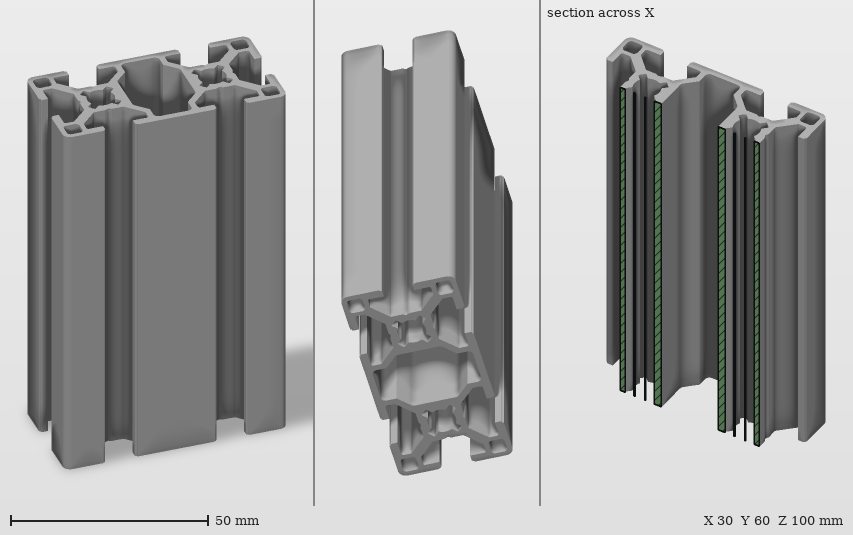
import cadquery as cq

cell = 30.0
length = 100.0
corner_radius = 2.0
half_cell = cell / 2
cell_centres = [(0, -half_cell), (0, half_cell)]

slot_opening = 8.0
slot_inner_width = 16.6
lip_thickness = 2.2
slot_floor = 5.9
slot_flank_offset = 1.9
lip_step_width = 0.3
lip_step_depth = 0.3
lip_chamfer = 0.3
slot_corner_radius = 0.6
groove_width = 1.9
groove_floor_width = 0.2
groove_depth = 0.4

bore_diameter = 7.3
bore_slot_width = 2.1
bore_slot_length = 10.9

corner_hole_side = 4.2
corner_hole_centre = 11.6
corner_hole_radius = 1.0

chamber_half_width = 13.2
chamber_shoulder = 5.1
chamber_half_height = 8.5
chamber_flank_end = 5.9
chamber_corner_radius = 1.3
chamber_flank_radius = 1.5


def slot_cutter():
    """T-slot on the +Y side of a cell centred on the origin."""
    half_opening = slot_opening / 2
    half_inner = slot_inner_width / 2
    lip_inner = half_cell - lip_thickness
    half_floor = slot_floor - slot_flank_offset
    flank_top = half_inner + slot_flank_offset

    step_edge = half_opening + lip_chamfer
    mouth_edge = step_edge + lip_step_width
    step_bottom = half_cell - lip_step_depth
    groove_bottom = slot_floor - groove_depth

    outline = (
        cq.Workplane("XY")
        .moveTo(0, half_cell)
        .lineTo(mouth_edge, half_cell)
        .lineTo(mouth_edge, step_bottom)
        .lineTo(step_edge, step_bottom)
        .lineTo(half_opening, step_bottom - lip_chamfer)
        .lineTo(half_opening, lip_inner)
        .lineTo(half_inner - slot_corner_radius, lip_inner)
        .radiusArc((half_inner, lip_inner - slot_corner_radius), slot_corner_radius)
        .lineTo(half_inner, flank_top)
        .lineTo(half_floor, slot_floor)
        .lineTo(groove_width / 2, slot_floor)
        .lineTo(groove_floor_width / 2, groove_bottom)
        .lineTo(0, groove_bottom)
        .mirrorY()
    )
    return outline.extrude(length)


def bore_cutter():
    """Round bore with two crossing diagonal slots that end in arcs around the bore axis."""
    bore = cq.Workplane("XY").circle(bore_diameter / 2).extrude(length)
    slot_ends = cq.Workplane("XY").circle(bore_slot_length / 2).extrude(length)
    for angle in (45, 135):
        slot = cq.Workplane("XY").rect(bore_slot_length, bore_slot_width).extrude(length)
        slot = slot.intersect(slot_ends)
        bore = bore.union(slot.rotate((0, 0, 0), (0, 0, 1), angle))
    return bore


def corner_holes():
    """Rounded square holes along the four outer edges of the profile."""
    spacing_x = 2 * corner_hole_centre
    spacing_y = spacing_x + cell
    return (
        cq.Workplane("XY")
        .rect(spacing_x, spacing_y, forConstruction=True)
        .vertices()
        .rect(corner_hole_side, corner_hole_side)
        .extrude(length)
        .edges("|Z")
        .fillet(corner_hole_radius)
    )


def middle_chamber():
    """Wide chamber that narrows at 45 degrees towards both cells."""
    flank_start = chamber_flank_end + chamber_half_height - chamber_shoulder
    signs = [(1, 1), (-1, 1), (-1, -1), (1, -1)]
    points = []
    for sign_x, sign_y in signs:
        quarter = [
            (sign_x * chamber_half_width, sign_y * chamber_shoulder),
            (sign_x * flank_start, sign_y * chamber_shoulder),
            (sign_x * chamber_flank_end, sign_y * chamber_half_height),
        ]
        points += quarter if sign_x * sign_y > 0 else quarter[::-1]
    blank = cq.Workplane("XY").polyline(points).close().extrude(length)
    side_walls = blank.faces("<X or >X").edges("|Z").fillet(chamber_corner_radius)
    return side_walls.faces("<Y or >Y").edges("|Z").fillet(chamber_flank_radius)


result = cq.Workplane("XY").rect(cell, 2 * cell).extrude(length)
result = result.edges("|Z").fillet(corner_radius)

for centre_x, centre_y in cell_centres:
    end_turn = 0 if centre_y > 0 else 180
    result = result.cut(bore_cutter().translate((centre_x, centre_y, 0)))
    for turn in (end_turn, 90, -90):
        slot = slot_cutter().rotate((0, 0, 0), (0, 0, 1), turn)
        result = result.cut(slot.translate((centre_x, centre_y, 0)))

result = result.cut(corner_holes())
result = result.cut(middle_chamber())